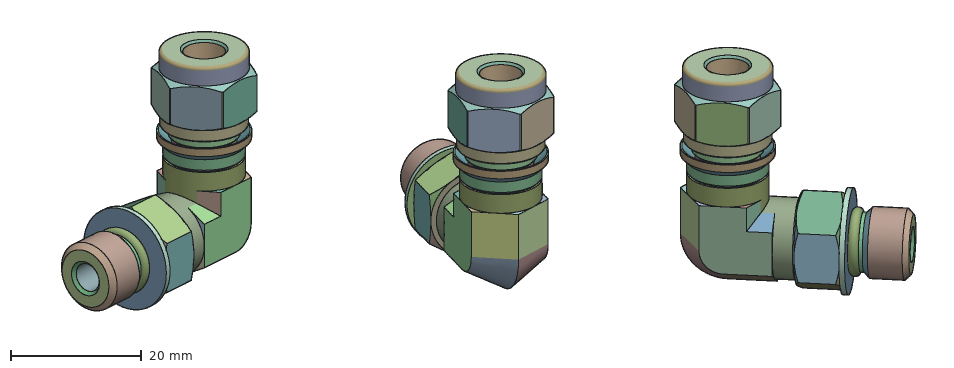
import cadquery as cq
import math


TAN30 = math.tan(math.radians(30))
COS30 = math.cos(math.radians(30))

total_height = 36.9
total_length = 36.7
washer_dia = 16.5
top_z = total_height - washer_dia / 2

body_flats = 12.7
body_corners = body_flats / COS30
elbow_face = 7.65
arm_end = 10.77

ring_dia = 12.7
ring_chamfer = 0.37
flange_dia = 14.6
flange_bottom = 13.87
flange_top = 15.13
cup_rim_dia = 14.1
cup_floor = 13.3
flange_cone_height = (flange_dia - ring_dia) / 2

nut_neck_dia = 11.1
nut_neck_bottom = 14.58
nut_stem_dia = 10.1
collar_dia = 13.6
collar_bottom = 16.0
collar_chamfer = 0.22
cap_dia = 13.9
cap_rounding = 0.5
tube_nut_bottom = 18.0
tube_nut_top = 25.6
tube_nut_flats = 14.3
tube_nut_corner_dia = 16.42

stud_end = total_length - tube_nut_corner_dia / 2
stud_neck_dia = 9.3
lock_nut_flats = 14.28
lock_nut_start = 11.07
washer_start = 18.15
washer_end = 19.05

oring_dia = 10.75
oring_section = 1.7
groove_end = 21.33
thread_dia = 11.1
thread_chamfer = (thread_dia - stud_neck_dia) / 2

tube_bore_dia = 6.55
tube_bore_chamfer = 0.37
tube_bore_depth = 15.25
upper_passage_dia = 4.85
stud_passage_dia = 4.55
stud_bore_chamfer = 0.5
passage_overrun = 0.2


def turned(profile):
    """Solid of revolution about Z from (radius, height) points; both ends close on the axis."""
    points = [(0, profile[0][1])] + profile + [(0, profile[-1][1])]
    return cq.Workplane("XZ").polyline(points).close().revolve(360, (0, 0), (0, 1))


def toward_stud(solid):
    """Turn a solid built along +Z so that it runs along -Y."""
    return solid.rotate((0, 0, 0), (1, 0, 0), 90)


def cylinder(diameter, bottom, top):
    return cq.Workplane("XY").workplane(offset=bottom).circle(diameter / 2).extrude(top - bottom)


def hex_prism(flats, bottom, top):
    """Hexagon about Z with two flats facing +X and -X."""
    hexagon = cq.Workplane("XY").workplane(offset=bottom).polygon(6, flats / COS30)
    return hexagon.extrude(top - bottom).rotate((0, 0, 0), (0, 0, 1), 30)


def chamfered_hex(flats, corner_dia, bottom, top, bottom_dia, top_dia):
    """Hexagon with 30 degree cones on both ends, starting at the given end diameters."""
    corner_radius = corner_dia / 2
    envelope = turned([
        (bottom_dia / 2, bottom),
        (corner_radius, bottom + (corner_radius - bottom_dia / 2) * TAN30),
        (corner_radius, top - (corner_radius - top_dia / 2) * TAN30),
        (top_dia / 2, top),
    ])
    return hex_prism(flats, bottom, top).intersect(envelope)


def elbow_arm():
    """Arm along +Z: a cylinder inside a hexagon that lacks its corner on the inside of the bend (-Y).

    The two flats beside the missing corner end where the cylinder touches them.
    """
    half_flats = body_flats / 2
    tangent_x = half_flats / 2
    tangent_y = half_flats * COS30
    flat_end = body_corners / 4
    section = [
        (half_flats, flat_end),
        (0, body_corners / 2),
        (-half_flats, flat_end),
        (-half_flats, -flat_end),
        (-tangent_x, -tangent_y),
        (0, 0),
        (tangent_x, -tangent_y),
        (half_flats, -flat_end),
    ]
    hexagon = cq.Workplane("XY").polyline(section).close().extrude(elbow_face)
    return hexagon.union(cylinder(body_flats, 0, arm_end))


def elbow_heel():
    """Rounded outside of the bend: the outer half of the hexagon swung 90 degrees about X."""
    half_flats = body_flats / 2
    flat_end = body_corners / 4
    outer_half = [
        (-half_flats, 0),
        (-half_flats, flat_end),
        (0, body_corners / 2),
        (half_flats, flat_end),
        (half_flats, 0),
    ]
    return cq.Workplane("XY").polyline(outer_half).close().revolve(90, (0.37, 0), (0, 0))


def elbow_body():
    upper_arm = elbow_arm()
    stud_arm = upper_arm.mirror("XZ")
    return upper_arm.union(toward_stud(stud_arm)).union(elbow_heel())


def tube_nut_end():
    """Ring, dished flange, stem, neck, collar, hexagon and rounded cap on the upper arm."""
    ring_radius = ring_dia / 2
    flange_radius = flange_dia / 2
    neck_radius = nut_neck_dia / 2
    stem_radius = nut_stem_dia / 2
    collar_radius = collar_dia / 2
    turned_parts = turned([
        (ring_radius - ring_chamfer, arm_end),
        (ring_radius, arm_end + ring_chamfer),
        (ring_radius, flange_bottom - flange_cone_height),
        (flange_radius, flange_bottom),
        (flange_radius, flange_top),
        (cup_rim_dia / 2, flange_top),
        (stem_radius, cup_floor),
        (stem_radius, nut_neck_bottom - (neck_radius - stem_radius)),
        (neck_radius, nut_neck_bottom),
        (neck_radius, collar_bottom),
        (collar_radius - collar_chamfer, collar_bottom),
        (collar_radius, collar_bottom + collar_chamfer),
        (collar_radius, tube_nut_bottom),
    ])
    hexagon = chamfered_hex(
        tube_nut_flats, tube_nut_corner_dia, tube_nut_bottom, tube_nut_top, collar_dia, cap_dia
    )
    cap = cylinder(cap_dia, tube_nut_top, top_z).faces(">Z").edges().fillet(cap_rounding)
    return turned_parts.union(hexagon).union(cap)


def stud_end_parts():
    """Neck, lock nut, washer, O-ring and chamfered thread, built along +Z."""
    neck = cylinder(stud_neck_dia, arm_end, groove_end)
    lock_nut = chamfered_hex(
        lock_nut_flats, lock_nut_flats / COS30, lock_nut_start, washer_start,
        lock_nut_flats, lock_nut_flats,
    )
    washer = cylinder(washer_dia, washer_start, washer_end)
    thread = turned([
        (stud_neck_dia / 2, groove_end),
        (thread_dia / 2, groove_end + thread_chamfer),
        (thread_dia / 2, stud_end - thread_chamfer),
        (stud_neck_dia / 2, stud_end),
    ])
    oring_radius = (oring_dia - oring_section) / 2
    oring = (
        cq.Workplane("XZ")
        .center(-oring_radius, washer_end + oring_section / 2)
        .circle(oring_section / 2)
        .revolve(360, (oring_radius, 0), (oring_radius, 1))
    )
    return neck.union(lock_nut).union(washer).union(thread).union(oring)


def upper_bore():
    """Chamfered tube socket, then a passage that ends just past the stud passage."""
    socket_radius = tube_bore_dia / 2
    passage_radius = upper_passage_dia / 2
    socket_floor = top_z - tube_bore_depth
    return turned([
        (passage_radius, -stud_passage_dia / 2 - passage_overrun),
        (passage_radius, socket_floor),
        (socket_radius, socket_floor),
        (socket_radius, top_z - tube_bore_chamfer),
        (socket_radius + tube_bore_chamfer, top_z),
    ])


def stud_bore():
    """Chamfered stud passage, built along +Z, that ends just past the upper passage."""
    passage_radius = stud_passage_dia / 2
    return turned([
        (passage_radius, -upper_passage_dia / 2 - passage_overrun),
        (passage_radius, stud_end - stud_bore_chamfer),
        (passage_radius + stud_bore_chamfer, stud_end),
    ])


result = (
    elbow_body()
    .union(tube_nut_end())
    .union(toward_stud(stud_end_parts()))
    .cut(upper_bore())
    .cut(toward_stud(stud_bore()))
)